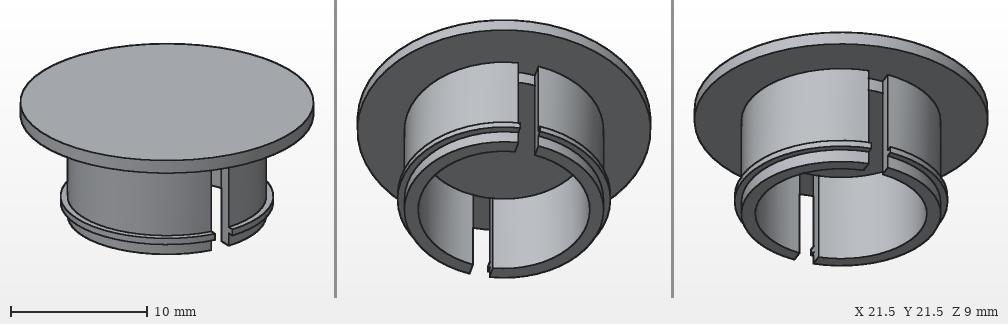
import cadquery as cq

total_height = 9.0
flange_diameter = 21.5
flange_thickness = 1.0
sleeve_diameter = 14.6
sleeve_wall = 1.0
snap_ring_diameter = 15.6
snap_ring_height = 0.5
snap_ring_bottom = 1.0
core_thickness = 1.0
slot_width = 1.5

flange_bottom = total_height - flange_thickness
core_bottom = flange_bottom - core_thickness
bore_diameter = sleeve_diameter - 2 * sleeve_wall


def disc(diameter, bottom, height):
    """Solid cylinder on the Z axis, starting at the given height."""
    return cq.Workplane("XY").workplane(offset=bottom).circle(diameter / 2).extrude(height)


sleeve = disc(sleeve_diameter, 0, flange_bottom)
sleeve = sleeve.union(disc(snap_ring_diameter, snap_ring_bottom, snap_ring_height))
sleeve = sleeve.cut(disc(bore_diameter, 0, flange_bottom))

slot = cq.Workplane("XY").box(
    flange_diameter, slot_width, flange_bottom, centered=(True, True, False)
)
sleeve = sleeve.cut(slot)

flange = disc(flange_diameter, flange_bottom, flange_thickness)
core = disc(bore_diameter, core_bottom, core_thickness)
result = flange.union(core).union(sleeve)